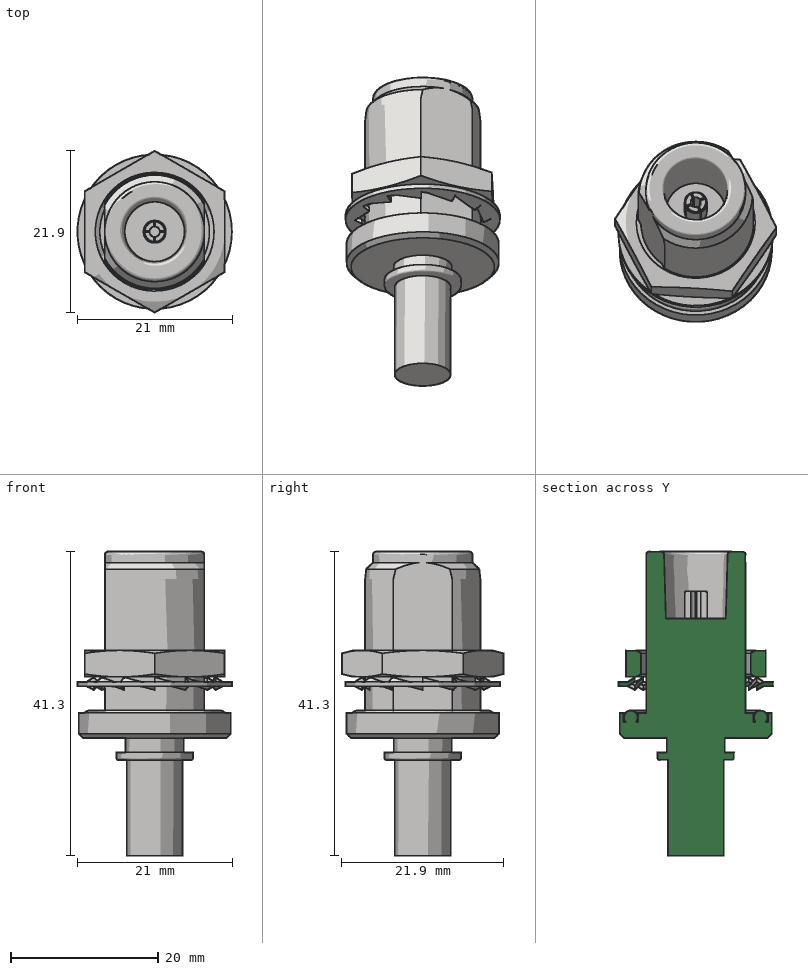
import cadquery as cq
import math

total_height = 41.3
stem_top = 13.0
collar_top = 14.05
flange_bottom = 16.0
flange_top = 19.4
thread_taper_bottom = 37.55
thread_mouth_bottom = 38.9
tip_bottom = 39.77

stem_diameter = 7.6
collar_diameter = 10.4
neck_diameter = 7.95
flange_diameter = 20.7
thread_diameter = 15.7
thread_end_diameter = 15.35
tip_diameter = 13.55
flats_width = 13.5

collar_fillet = 0.3
flange_chamfer = 0.6
tip_fillet = 0.5

bore_floor_diameter = 8.1
bore_mouth_diameter = 8.6
bore_depth = 9.1
mouth_fillet = 0.5
contact_diameter = 3.05
contact_hole_diameter = 1.4
contact_length = 3.7
contact_chamfer = 0.15
contact_slot_width = 0.2

groove_diameter = 19.58
ring_section_diameter = 1.9
ring_rise = 0.35
groove_depth = 1.25

nut_bottom = 24.3
nut_height = 3.6
nut_across_flats = 19.0
nut_bevel_angle = 15.0
nut_hole_diameter = 14.85
nut_countersink_diameter = 16.1
nut_countersink_angle = 60.0

washer_diameter = 21.0
washer_bottom = 23.0
washer_thickness = 0.6
tooth_count = 12
tooth_root_diameter = 18.4
tooth_tip_diameter = 16.5
tooth_rise = 0.6
tooth_drop = 0.5


def disc(diameter, bottom, top):
    """Cylinder on the Z axis between two heights."""
    return cq.Workplane("XY").workplane(offset=bottom).circle(diameter / 2).extrude(top - bottom)


def cone(bottom_diameter, top_diameter, bottom, top):
    """Truncated cone on the Z axis between two heights."""
    return cq.Workplane(
        cq.Solid.makeCone(bottom_diameter / 2, top_diameter / 2, top - bottom, pnt=cq.Vector(0, 0, bottom))
    )


def make_cable_end():
    """Stem, collar and neck below the flange."""
    stem = disc(stem_diameter, 0, stem_top)
    collar = disc(collar_diameter, stem_top, collar_top).faces("<Z").edges().fillet(collar_fillet)
    neck = disc(neck_diameter, collar_top, flange_bottom)
    return stem.union(collar).union(neck)


def make_flange():
    """Bevelled flange with the sealing ring standing slightly proud of its groove."""
    flange = disc(flange_diameter, flange_bottom, flange_top).faces("<Z").edges().chamfer(flange_chamfer)
    groove_floor = flange_top - groove_depth
    groove = disc(groove_diameter, groove_floor, flange_top).cut(
        disc(thread_diameter, groove_floor, flange_top)
    )
    ring_radius = (groove_diameter + thread_diameter) / 4
    ring_centre = cq.Vector(0, 0, flange_top + ring_rise - ring_section_diameter / 2)
    ring = cq.Workplane(cq.Solid.makeTorus(ring_radius, ring_section_diameter / 2, ring_centre))
    return flange.cut(groove).union(ring)


def make_barrel():
    """Threaded barrel with a tapered end and a plain tip, flattened on its two X sides."""
    barrel = disc(thread_diameter, flange_top, thread_taper_bottom)
    barrel = barrel.union(
        cone(thread_diameter, thread_end_diameter, thread_taper_bottom, thread_mouth_bottom)
    )
    barrel = barrel.union(cone(thread_end_diameter, tip_diameter, thread_mouth_bottom, tip_bottom))
    tip = disc(tip_diameter, tip_bottom, total_height).faces(">Z").edges().fillet(tip_fillet)
    flats = cq.Workplane("XY").box(
        flats_width, thread_diameter, total_height, centered=(True, True, False)
    )
    return barrel.union(tip).intersect(flats)


def make_socket():
    """Hollow of the socket: rounded mouth, and a bore narrowing to its floor."""
    floor_radius = bore_floor_diameter / 2
    mouth_radius = bore_mouth_diameter / 2
    mouth_bottom = total_height - mouth_fillet
    floor = total_height - bore_depth
    arc_offset = mouth_fillet * (1 - math.sqrt(0.5))
    return (
        cq.Workplane("XZ")
        .moveTo(0, floor)
        .lineTo(floor_radius, floor)
        .lineTo(mouth_radius, mouth_bottom)
        .threePointArc(
            (mouth_radius + arc_offset, total_height - arc_offset),
            (mouth_radius + mouth_fillet, total_height),
        )
        .lineTo(0, total_height)
        .close()
        .revolve()
    )


def make_contact():
    """Tubular centre contact split by two crossing slots."""
    floor = total_height - bore_depth
    top = floor + contact_length
    contact = disc(contact_diameter, floor, top).faces(">Z").edges().chamfer(contact_chamfer)
    contact = contact.cut(disc(contact_hole_diameter, floor, top))
    slot = cq.Workplane("XY").box(
        contact_diameter, contact_slot_width, contact_length, centered=(True, True, False)
    )
    for angle in (0, 90):
        contact = contact.cut(slot.rotate((0, 0, 0), (0, 0, 1), angle).translate((0, 0, floor)))
    return contact


def make_nut():
    """Hexagonal nut bevelled at both ends, with a countersunk hole."""
    nut_top = nut_bottom + nut_height
    across_corners = nut_across_flats / math.cos(math.pi / 6)
    hexagon = (
        cq.Workplane("XY")
        .workplane(offset=nut_bottom)
        .polygon(6, across_corners)
        .extrude(nut_height)
        .rotate((0, 0, 0), (0, 0, 1), 90)
    )
    bevel_height = (across_corners - nut_across_flats) / 2 * math.tan(math.radians(nut_bevel_angle))
    bevel = disc(across_corners, nut_bottom + bevel_height, nut_top - bevel_height)
    bevel = bevel.union(cone(nut_across_flats, across_corners, nut_bottom, nut_bottom + bevel_height))
    bevel = bevel.union(cone(across_corners, nut_across_flats, nut_top - bevel_height, nut_top))
    countersink_depth = (nut_countersink_diameter - nut_hole_diameter) / 2 / math.tan(
        math.radians(nut_countersink_angle)
    )
    return (
        hexagon.intersect(bevel)
        .cut(disc(nut_hole_diameter, nut_bottom, nut_top))
        .cut(cone(nut_hole_diameter, nut_countersink_diameter, nut_top - countersink_depth, nut_top))
        .cut(cone(nut_countersink_diameter, nut_hole_diameter, nut_bottom, nut_bottom + countersink_depth))
    )


def make_connector():
    """Connector in one piece with its sealing ring, contact and nut."""
    barrel = make_barrel().cut(make_socket()).union(make_contact())
    return make_cable_end().union(make_flange()).union(barrel).union(make_nut())


def tooth_section(diameter, start_rise, end_rise):
    """Four-sided section of a tooth across its pitch, lifted differently at its two ends."""
    half_pitch = math.pi / tooth_count
    x = diameter / 2 * math.cos(half_pitch)
    y = diameter / 2 * math.sin(half_pitch)
    start = washer_bottom + start_rise
    end = washer_bottom + end_rise
    return cq.Wire.makePolygon(
        [
            cq.Vector(x, -y, start),
            cq.Vector(x, y, end),
            cq.Vector(x, y, end + washer_thickness),
            cq.Vector(x, -y, start + washer_thickness),
        ],
        close=True,
    )


def make_washer():
    """Flat ring with twisted teeth pointing inwards, one end of each raised and the other lowered."""
    ring = (
        disc(washer_diameter, washer_bottom, washer_bottom + washer_thickness)
        .faces(">Z")
        .workplane()
        .polygon(tooth_count, tooth_root_diameter)
        .cutThruAll()
    )
    root = tooth_section(tooth_root_diameter, 0, 0)
    tip = tooth_section(tooth_tip_diameter, tooth_rise, -tooth_drop)
    tooth = cq.Workplane(cq.Solid.makeLoft([root, tip], True))
    pitch_angle = 360 / tooth_count
    for index in range(tooth_count):
        ring = ring.union(tooth.rotate((0, 0, 0), (0, 0, 1), (index + 0.5) * pitch_angle))
    return ring


connector = make_connector()
washer = make_washer()

result = cq.Compound.makeCompound([connector.val(), washer.val()])